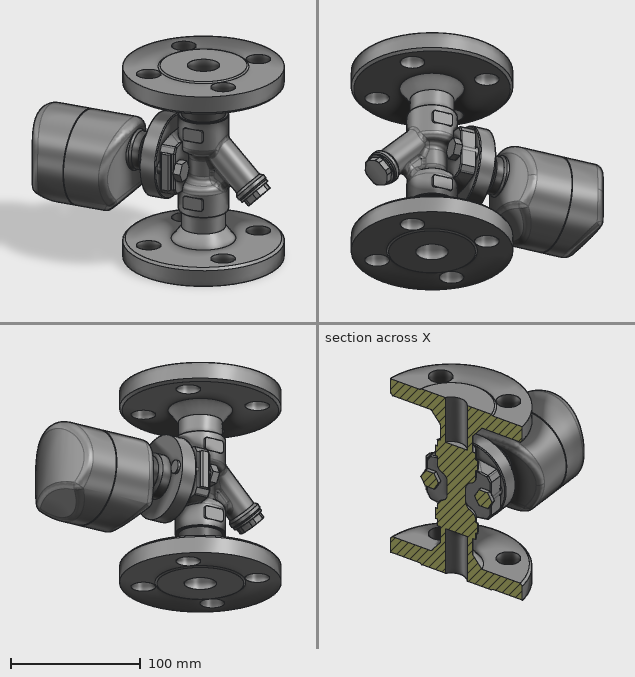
import cadquery as cq
import math

half_length = 80.0

flange_dia = 125
flange_thickness = 15.1
flange_chamfer = 2.0
sealing_face_dia = 67.0
sealing_face_height = 1.0
sealing_face_flare = 1.51
bolt_hole_dia = 19.0
bolt_circle_dia = 89.9
bore_dia = 25.0
pipe_dia = 34.0
hub_dia = 50.0
hub_length = 10.0

body_dia = 39.0
body_half_length = 39.5
body_chamfer = 0.6
waist_dia = 23.0
upper_shoulder_z = (4.5, 16.5)
lower_shoulder_z = (-8.3, -21.0)
label_width = 16.5
label_height = 10.5
label_corner = 2.0
label_center_z = 28.5
label_front = 19.7

arm_angle = 45
arm_origin_z = 26.2
arm_dia = 23.0
arm_collar_dia = 27.0
arm_start = -8.0
web_range = (6.0, 28.0)
web_thickness = 12.0
web_depth = (4.0, 24.2)
arm_root_fillet = 4.0
blend_x = (1.0, 28.2)
collar_start = 35.5
collar_full = 37.7
collar_chamfer_start = 40.7
collar_end = 42.0
plug_washer_dia = 25.8
plug_washer_end = 43.7
plug_end = 49.0
plug_flats = 21.5
plug_dia = 23.0

neck_dia = 30.0
neck_root_dia = 33.0
neck_root_length = 1.8
stem_dia = 35.0
stem_start_x = -46.0
stem_flare = 2.5
disc_dia = 67.0
disc_x = (-38.3, -25.4)
disc_chamfer = 0.8

yoke_x = (-23.0, -10.3)
yoke_height_back = 22.8
yoke_height_front = 20.8
yoke_top_half_width = 10.0
yoke_shoulder = (26.8, 20.0)
yoke_bevel = (27.8, 19.0)
yoke_side = (30.2, 15.0)
yoke_edge_chamfer = 1.0
tag_x = (-21.2, -13.0)
tag_front = 33.7
tag_bevel = 1.5

stud_dia = 10.5
stud_offset = 25.2
stud_start_x = -40.3
nut_end_x = -4.2
nut_corner_dia = 17.0

head_x = (-139.0, -56.5)
head_dia = 76.0
head_center_z = -14.1
head_end_radius = 68.5
head_plan_margin = 2.0
head_cut_z = -31.6
head_fillet = 7.0
groove_x = -102.0
groove_width = 0.5
groove_depth = 0.5


def revolve_about_x(points):
    """Solid of revolution about the X axis from (x, radius) points, closed along the axis."""
    outline = [(points[0][0], 0)] + points + [(points[-1][0], 0)]
    return cq.Workplane("XY").polyline(outline).close().revolve(360, (0, 0), (1, 0))


def cylinder_x(diameter, x_range, y=0, z=0):
    length = x_range[1] - x_range[0]
    return cq.Workplane("YZ", origin=(x_range[0], y, z)).circle(diameter / 2).extrude(length)


def end_flange():
    """Upper flange with weld hub and pipe stub, bored down to the valve body."""
    flange_top = half_length - sealing_face_height
    flange_bottom = flange_top - flange_thickness
    rim = flange_dia / 2
    face = sealing_face_dia / 2
    outline = [
        (0, body_half_length),
        (pipe_dia / 2, body_half_length),
        (pipe_dia / 2, flange_bottom - hub_length),
        (hub_dia / 2, flange_bottom),
        (rim - flange_chamfer, flange_bottom),
        (rim, flange_bottom + flange_chamfer),
        (rim, flange_top),
        (face + sealing_face_flare, flange_top),
        (face, half_length),
        (0, half_length),
    ]
    flange = cq.Workplane("XZ").polyline(outline).close().revolve(360, (0, 0), (0, 1))
    bolt_holes = (
        cq.Workplane("XY", origin=(0, 0, flange_bottom))
        .polarArray(bolt_circle_dia / 2, 45, 360, 4)
        .circle(bolt_hole_dia / 2)
        .extrude(flange_thickness)
    )
    bore = (
        cq.Workplane("XY", origin=(0, 0, body_half_length))
        .circle(bore_dia / 2)
        .extrude(half_length - body_half_length)
    )
    return flange.cut(bolt_holes).cut(bore)


def valve_body():
    """Round body whose diameter runs into the waist through S-shaped shoulders."""
    r_body = body_dia / 2
    r_waist = waist_dia / 2
    r_middle = (r_body + r_waist) / 2
    top_waist, top_full = upper_shoulder_z
    low_waist, low_full = lower_shoulder_z
    return (
        cq.Workplane("XZ")
        .moveTo(0, body_half_length)
        .lineTo(r_body - body_chamfer, body_half_length)
        .lineTo(r_body, body_half_length - body_chamfer)
        .lineTo(r_body, top_full)
        .tangentArcPoint((r_middle, (top_full + top_waist) / 2), relative=False)
        .tangentArcPoint((r_waist, top_waist), relative=False)
        .lineTo(r_waist, low_waist)
        .tangentArcPoint((r_middle, (low_full + low_waist) / 2), relative=False)
        .tangentArcPoint((r_body, low_full), relative=False)
        .lineTo(r_body, body_chamfer - body_half_length)
        .lineTo(r_body - body_chamfer, -body_half_length)
        .lineTo(0, -body_half_length)
        .close()
        .revolve(360, (0, 0), (0, 1))
    )


def body_labels():
    """Four flat label pads, front and back, above and below the waist."""
    label = (
        cq.Workplane("XY")
        .box(label_width, 2 * label_front, label_height)
        .edges("|Y")
        .fillet(label_corner)
    )
    upper = label.translate((0, 0, label_center_z))
    return upper.union(upper.mirror("XY"))


def along_arm(solid):
    """Move a solid built along Z from the arm foot onto the sloping arm axis."""
    slope = math.radians(arm_angle)
    foot_distance = arm_origin_z * math.cos(slope)
    foot = (foot_distance * math.sin(slope), 0, foot_distance * math.cos(slope))
    return solid.rotate((0, 0, 0), (0, 1, 0), 90 + arm_angle).translate(foot)


def arm_tube():
    tube = cq.Workplane("XY", origin=(0, 0, arm_start)).circle(arm_dia / 2)
    return along_arm(tube.extrude(collar_full - arm_start))


def arm_web():
    """Round-ended web bridging the crotch between the arm and the lower shoulder."""
    web = (
        cq.Workplane("YZ", origin=(web_depth[0], 0, (web_range[0] + web_range[1]) / 2))
        .slot2D(web_range[1] - web_range[0], web_thickness, 90)
        .extrude(web_depth[1] - web_depth[0])
    )
    return along_arm(web)


def body_with_arm():
    """Body, arm and web in one piece, with rounded edges where they meet."""
    low_corner = (blend_x[0], -arm_dia, -body_half_length)
    high_corner = (blend_x[1], arm_dia, body_half_length)
    blend_zone = cq.selectors.BoxSelector(low_corner, high_corner, boundingbox=True)
    curved = cq.selectors.StringSyntaxSelector("%BSPLINE or %ELLIPSE")
    joined = valve_body().union(arm_tube()).union(arm_web())
    return joined.edges(blend_zone & curved).fillet(arm_root_fillet)


def arm_plug():
    """Flared collar, washer and hexagon plug closing the arm."""
    r_collar = arm_collar_dia / 2
    collar_chamfer = collar_end - collar_chamfer_start
    outline = [
        (0, collar_start),
        (arm_dia / 2, collar_start),
        (r_collar, collar_full),
        (r_collar, collar_chamfer_start),
        (r_collar - collar_chamfer, collar_end),
        (plug_washer_dia / 2, collar_end),
        (plug_washer_dia / 2, plug_washer_end),
        (0, plug_washer_end),
    ]
    collar = cq.Workplane("XZ").polyline(outline).close().revolve(360, (0, 0), (0, 1))
    hexagon_corner_dia = plug_flats / math.cos(math.radians(30))
    plug_length = plug_end - plug_washer_end
    plug_base = cq.Workplane("XY", origin=(0, 0, plug_washer_end))
    hexagon = plug_base.polygon(6, hexagon_corner_dia).extrude(plug_length)
    turned = plug_base.circle(plug_dia / 2).extrude(plug_length)
    return along_arm(collar.union(hexagon.intersect(turned)))


def actuator_neck():
    """Stepped neck from the actuator head to the yoke, with the large disc."""
    r_neck = neck_dia / 2
    r_stem = stem_dia / 2
    head_end = head_x[1]
    neck = revolve_about_x([
        (head_end - head_fillet, neck_root_dia / 2),
        (head_end, neck_root_dia / 2),
        (head_end + neck_root_length, r_neck),
        (stem_start_x - stem_flare, r_neck),
        (stem_start_x, r_stem),
        (yoke_x[1], r_stem),
    ])
    disc = cylinder_x(disc_dia, disc_x).faces(">X").edges().chamfer(disc_chamfer)
    return neck.union(disc)


def yoke():
    """Faceted clamp block with a tag plate on its -Y side."""
    corners = [
        (yoke_top_half_width, yoke_height_back),
        yoke_shoulder,
        yoke_bevel,
        yoke_side,
    ]
    right_half = corners + [(y, -z) for y, z in reversed(corners)]
    left_half = [(-y, -z) for y, z in right_half]
    block = (
        cq.Workplane("YZ", origin=(yoke_x[0], 0, 0))
        .polyline(right_half + left_half)
        .close()
        .extrude(yoke_x[1] - yoke_x[0])
        .faces(">X")
        .edges()
        .chamfer(yoke_edge_chamfer)
    )
    side_outline = [
        (yoke_x[0], yoke_height_back),
        (yoke_x[1], yoke_height_front),
        (yoke_x[1], -yoke_height_front),
        (yoke_x[0], -yoke_height_back),
    ]
    wedge = cq.Workplane("XZ").polyline(side_outline).close().extrude(yoke_side[0], both=True)
    tag = (
        cq.Workplane("XZ", origin=((tag_x[0] + tag_x[1]) / 2, -yoke_top_half_width, 0))
        .rect(tag_x[1] - tag_x[0], 2 * yoke_side[1])
        .extrude(tag_front - yoke_top_half_width)
        .faces("<Y")
        .edges("|Z")
        .chamfer(tag_bevel)
    )
    return block.intersect(wedge).union(tag)


def stud(y):
    """Stud through disc and yoke, with a hexagon nut against the yoke."""
    shank = cylinder_x(stud_dia, (stud_start_x, yoke_x[1]), y)
    nut = (
        cq.Workplane("YZ", origin=(yoke_x[1], y, 0))
        .polygon(6, nut_corner_dia)
        .extrude(nut_end_x - yoke_x[1])
    )
    return shank.union(nut)


def actuator_head():
    """Lying cylinder with bulged ends and 45 degree bottom corners, rounded all over."""
    radius = head_dia / 2
    left, right = head_x
    plan_half_width = radius + head_plan_margin
    sag = head_end_radius - math.sqrt(head_end_radius ** 2 - plan_half_width ** 2)
    plan = (
        cq.Workplane("XY", origin=(0, 0, head_center_z))
        .moveTo(left + sag, -plan_half_width)
        .lineTo(right - sag, -plan_half_width)
        .threePointArc((right, 0), (right - sag, plan_half_width))
        .lineTo(left + sag, plan_half_width)
        .threePointArc((left, 0), (left + sag, -plan_half_width))
        .close()
        .extrude(radius, both=True)
    )
    top = head_center_z + radius
    bottom = head_center_z - radius
    cut = head_cut_z - bottom
    side_outline = [
        (left, top),
        (right, top),
        (right, head_cut_z),
        (right - cut, bottom),
        (left + cut, bottom),
        (left, head_cut_z),
    ]
    side = cq.Workplane("XZ").polyline(side_outline).close().extrude(radius, both=True)
    barrel = cylinder_x(head_dia, head_x, 0, head_center_z)
    return barrel.intersect(plan).intersect(side).edges().fillet(head_fillet)


def head_groove():
    """Shallow parting groove around the actuator head."""
    groove_range = (groove_x - groove_width / 2, groove_x + groove_width / 2)
    outer = cylinder_x(head_dia + groove_depth, groove_range, 0, head_center_z)
    inner = cylinder_x(head_dia - 2 * groove_depth, groove_range, 0, head_center_z)
    return outer.cut(inner)


flange = end_flange()
head = actuator_head().cut(head_groove())

result = (
    body_with_arm()
    .union(body_labels())
    .union(arm_plug())
    .union(flange)
    .union(flange.mirror("XY"))
    .union(yoke())
    .union(actuator_neck())
    .union(stud(stud_offset))
    .union(stud(-stud_offset))
    .union(head)
)